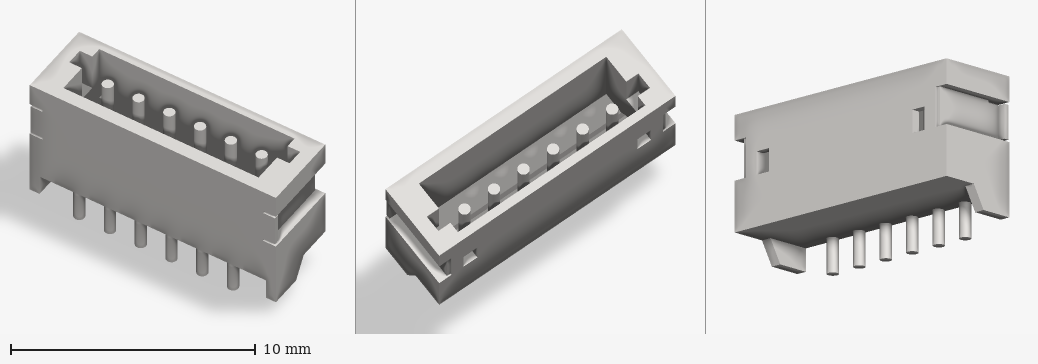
import cadquery as cq

length = 12.0
depth = 3.7
height = 5.0

leg_width = 0.48
leg_drop = 1.0
leg_foot_depth = 1.51
leg_root_depth = 2.09

cavity_length = 9.52
front_wall = 0.61
back_wall = 0.4
cavity_back = depth - back_wall
upper_floor_drop = 3.5
step_drop = 0.29
step_top_y = 1.95
step_foot_y = step_top_y - step_drop

groove_depth = 0.61
groove_width = 0.79
key_drop = 1.8
window_width = 0.7

band_top = height - 1.09
band_height = 1.7
band_bottom = band_top - band_height
band_recess = 0.45
tab_inset = 0.05
tab_thickness = 0.22
slit_height = 0.11
slit_length = 0.62
slit_depth = 0.75
back_relief = 0.07

pin_count = 6
pin_pitch = 1.5
pin_diameter = 0.5
post_y = depth - 1.31
post_top = height - 0.7
tail_y = pin_diameter / 2
tail_protrusion = 0.5
tail_drop = leg_drop + tail_protrusion
bend_start = -0.15
bend_angle = 90
bend_radius = 0.5
post_bottom = bend_start + bend_radius


def box(x_range, y_range, z_range):
    """Axis-aligned block spanning the given coordinate ranges."""
    spans = [high - low for low, high in (x_range, y_range, z_range)]
    corner = (x_range[0], y_range[0], z_range[0])
    return cq.Workplane("XY").box(*spans, centered=False).translate(corner)


def mirrored_pair(shape):
    """The shape together with its copy at the other end of the housing."""
    return shape.union(shape.mirror("YZ"))


def extrude_along_x(outline, start, distance):
    """Extrude a closed (y, z) outline along +X from x = start."""
    return cq.Workplane("YZ", origin=(start, 0, 0)).polyline(outline).close().extrude(distance)


def legs():
    outline = [
        (0, 0),
        (0, -leg_drop),
        (leg_foot_depth, -leg_drop),
        (leg_root_depth, 0),
    ]
    return mirrored_pair(extrude_along_x(outline, -length / 2, leg_width))


def cavity():
    """Opening whose floor steps down a slope towards the front wall."""
    upper_floor = height - upper_floor_drop
    lower_floor = upper_floor - step_drop
    outline = [
        (front_wall, height),
        (front_wall, lower_floor),
        (step_foot_y, lower_floor),
        (step_top_y, upper_floor),
        (cavity_back, upper_floor),
        (cavity_back, height),
    ]
    return extrude_along_x(outline, -cavity_length / 2, cavity_length)


def keying_grooves():
    reach = cavity_length / 2 + groove_depth
    y_range = (post_y - groove_width / 2, post_y + groove_width / 2)
    return box((-reach, reach), y_range, (height - key_drop, height))


def wall_windows():
    """Openings through the back wall at both ends of the cavity."""
    start = -cavity_length / 2
    z_range = (band_bottom, height - key_drop)
    return mirrored_pair(box((start, start + window_width), (cavity_back, depth), z_range))


def end_bands():
    """Side recess, front tab inset, tab slits and rear corner relief at each end."""
    end = -length / 2
    full_band = (band_bottom, band_top)
    slit_x = (end, end + slit_length)
    cut = box((end, end + band_recess), (tab_thickness, depth), full_band)
    cut = cut.union(box((end, end + tab_inset), (0, tab_thickness), full_band))
    cut = cut.union(box(slit_x, (depth - back_relief, depth), full_band))
    for slit_bottom in (band_bottom, band_top - slit_height):
        slit_z = (slit_bottom, slit_bottom + slit_height)
        cut = cut.union(box(slit_x, (0, slit_depth), slit_z))
    return mirrored_pair(cut)


def contact(x):
    """Upright post plus a tail that bends back into the housing."""
    post = (
        cq.Workplane("XY", origin=(x, post_y, post_bottom))
        .circle(pin_diameter / 2)
        .extrude(post_top - post_bottom)
    )
    tail = (
        cq.Workplane("XY", origin=(x, tail_y, -tail_drop))
        .circle(pin_diameter / 2)
        .extrude(tail_drop + bend_start)
    )
    bend = (
        cq.Workplane("XY", origin=(x, tail_y, bend_start))
        .circle(pin_diameter / 2)
        .revolve(bend_angle, (0, bend_radius, 0), (-1, bend_radius, 0))
    )
    return post.union(tail).union(bend)


result = box((-length / 2, length / 2), (0, depth), (0, height)).union(legs())
result = result.cut(cavity()).cut(keying_grooves()).cut(wall_windows()).cut(end_bands())
for index in range(pin_count):
    result = result.union(contact((index - (pin_count - 1) / 2) * pin_pitch))